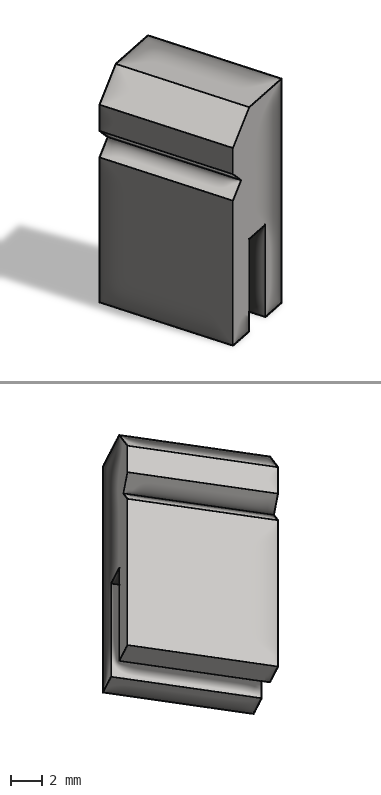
import cadquery as cq

width = 10.0
depth = 6.0
height = 17.0

slot_width = depth / 3
slot_height = 7.0

chamfer = 2.0
groove_depth = 1.0
groove_center_below_top = 5.0

front_y = -depth / 2
groove_z = height - groove_center_below_top


def make_body():
    """Upright block with its front top edge chamfered."""
    block = cq.Workplane("XY").box(width, depth, height, centered=(True, True, False))
    return block.faces(">Z").edges("<Y").chamfer(chamfer)


def make_groove():
    """V-shaped cutter running across the front face."""
    return (
        cq.Workplane("YZ")
        .moveTo(front_y, groove_z - groove_depth)
        .lineTo(front_y + groove_depth, groove_z)
        .lineTo(front_y, groove_z + groove_depth)
        .close()
        .extrude(width / 2, both=True)
    )


def make_slot():
    """Cutter for the slot through the full width, open at the base."""
    return cq.Workplane("XY").box(width, slot_width, slot_height, centered=(True, True, False))


result = make_body().cut(make_groove()).cut(make_slot())